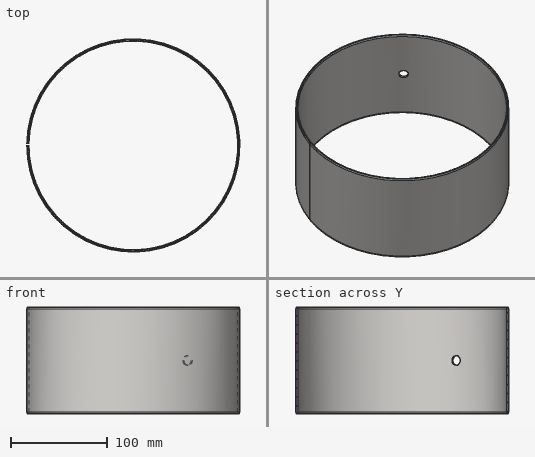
import cadquery as cq

outer_diameter = 220.0
height = 110.0
inner_diameter = 215.2
bevel_width = 0.7
bevel_height = 1.8

slit_angle = 1.0
slit_end = 180.0

hole_diameter = 10.0
hole_from_slit = 120.0

outer_radius = outer_diameter / 2
inner_radius = inner_diameter / 2
hole_angle = slit_end - slit_angle - hole_from_slit


def split_ring():
    """Bevelled wall section revolved about Z, stopping short of a full turn to leave the slit."""
    top = height / 2
    shoulder = top - bevel_height
    upper_right = [(outer_radius, shoulder), (outer_radius - bevel_width, top)]
    upper_left = [(inner_radius + bevel_width, top), (inner_radius, shoulder)]
    upper = upper_right + upper_left
    lower = [(radius, -z) for radius, z in reversed(upper)]
    ring = cq.Workplane("XZ").polyline(upper + lower).close().revolve(360 - slit_angle, (0, 0), (0, 1))
    return ring.rotate((0, 0, 0), (0, 0, 1), slit_end)


def radial_hole():
    """Cylinder from the axis outwards, turned to the hole angle."""
    pin = cq.Workplane("YZ").circle(hole_diameter / 2).extrude(outer_diameter)
    return pin.rotate((0, 0, 0), (0, 0, 1), hole_angle)


result = split_ring().cut(radial_hole())